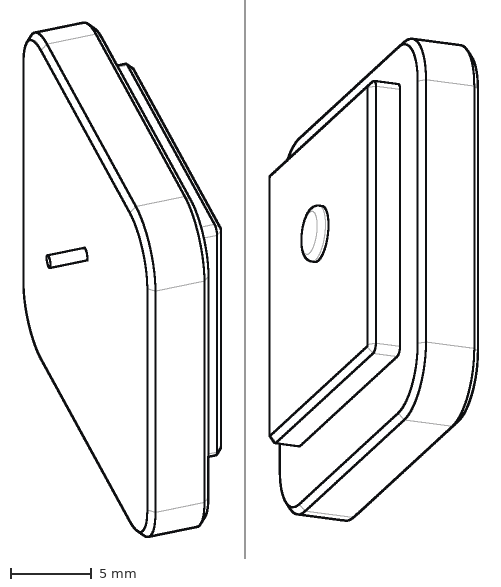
import cadquery as cq

plate_side = 25.0
plate_thickness = 4.0
plate_corner_radius = 3.82
plate_chamfer = 0.4

block_side = 18.0
block_thickness = 2.0
block_corner_radius = 0.5
block_chamfer = 0.4
block_center_z = 0.7

pin_diameter = 0.8
pin_center_z = 2.5
pin_projection = 2.4
head_diameter = 3.5
head_thickness = 0.6
head_edge_radius = 0.4

block_front_y = plate_thickness
block_back_y = block_front_y + block_thickness


def xz_plane(y, z):
    """Workplane facing +Y, centred on X = 0 at the given Y and Z."""
    return cq.Workplane(cq.Plane(origin=(0, y, z), xDir=(1, 0, 0), normal=(0, 1, 0)))


def rounded_square(y, z, side, thickness, corner_radius):
    """Square slab that extends from y towards +Y, with rounded corners."""
    return xz_plane(y, z).rect(side, side).extrude(thickness).edges("|Y").fillet(corner_radius)


def pin_hole():
    """Cutter for the pin's shank, from the plate's front to the block's back."""
    return xz_plane(0, pin_center_z).circle(pin_diameter / 2).extrude(block_back_y)


def make_plate():
    plate = rounded_square(0, 0, plate_side, plate_thickness, plate_corner_radius)
    plate = plate.faces("<Y or >Y").chamfer(plate_chamfer)
    return plate.cut(pin_hole())


def make_block():
    block = rounded_square(block_front_y, block_center_z, block_side, block_thickness, block_corner_radius)
    block = block.faces(">Y").chamfer(block_chamfer)
    return block.cut(pin_hole())


def make_pin():
    shank_length = pin_projection + block_back_y
    shank = xz_plane(-pin_projection, pin_center_z).circle(pin_diameter / 2).extrude(shank_length)
    head = xz_plane(block_back_y, pin_center_z).circle(head_diameter / 2).extrude(head_thickness)
    head = head.faces(">Y").edges().fillet(head_edge_radius)
    return shank.union(head)


plate = make_plate()
block = make_block()
pin = make_pin()

result = cq.Compound.makeCompound([plate.val(), block.val(), pin.val()])